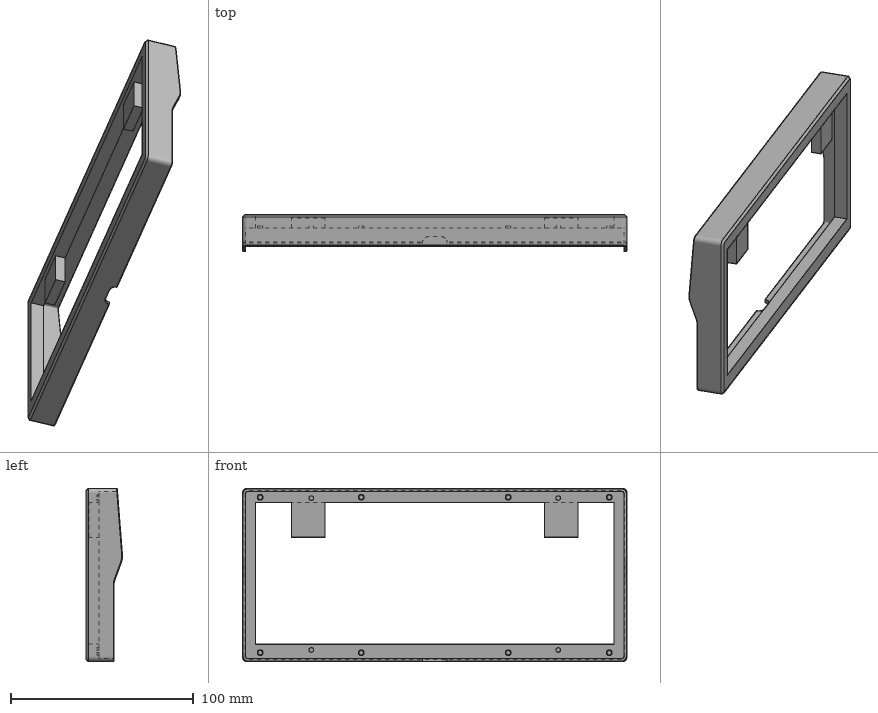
import cadquery as cq
import math

LENGTH = 210.3
HEIGHT = 94.8
DEPTH = 20.0
WALL = 1.79
CORNER_RADIUS = 2.7
BACK_CHAMFER = 1.3
RIM_CHAMFER = 0.5

BOTTOM_DEPTH = 15.3
CREST_HEIGHT = 10.5
CREST_RADIUS = 10.5
STEP_RADIUS = 8.5
UPPER_SLOPE = math.radians(4.5)
STEP_SLOPE = math.radians(20)

FLANGE_THICKNESS = 7.1
OPENING_LENGTH = 196.0
OPENING_TOP = 39.5
OPENING_BOTTOM = -37.8

TAB_WIDTH = 18.5
TAB_DROP = 19.0
TAB_OFFSET = 69.2
TAB_THICKNESS = 5.5

HOLE_DEPTH = 1.0
SCREW_DIAMETER = 3.2
SCREW_BOTTOM_DIAMETER = 2.5
SCREW_OFFSETS = (40.2, 95.5)
SCREW_HEIGHT = 42.5
PIN_DIAMETER = 2.5
PIN_OFFSET = 67.5
PIN_TOP = 42.0
PIN_BOTTOM = -41.0

NOTCH_WIDTH = 13.5
NOTCH_DEPTH = 3.4
NOTCH_RADIUS = 3.2

FLANGE_FRONT = DEPTH - FLANGE_THICKNESS
BOTTOM_FRONT = DEPTH - BOTTOM_DEPTH


def make_body():
    """Solid block with the side outline, rounded along its length edges and chamfered front and back."""
    upper_y = CREST_RADIUS * (1 - math.cos(UPPER_SLOPE))
    upper_z = CREST_HEIGHT + CREST_RADIUS * math.sin(UPPER_SLOPE)
    lower_y = CREST_RADIUS * (1 - math.cos(STEP_SLOPE))
    lower_z = CREST_HEIGHT - CREST_RADIUS * math.sin(STEP_SLOPE)
    step_y = BOTTOM_FRONT - STEP_RADIUS * (1 - math.cos(STEP_SLOPE))
    step_z = lower_z - (step_y - lower_y) / math.tan(STEP_SLOPE)
    step_end_z = step_z - STEP_RADIUS * math.sin(STEP_SLOPE)
    top_y = upper_y + (HEIGHT / 2 - upper_z) * math.tan(UPPER_SLOPE)
    body = (
        cq.Workplane("YZ")
        .moveTo(DEPTH, -HEIGHT / 2)
        .lineTo(DEPTH, HEIGHT / 2)
        .lineTo(top_y, HEIGHT / 2)
        .lineTo(upper_y, upper_z)
        .threePointArc((0, CREST_HEIGHT), (lower_y, lower_z))
        .lineTo(step_y, step_z)
        .tangentArcPoint((BOTTOM_FRONT, step_end_z), relative=False)
        .lineTo(BOTTOM_FRONT, -HEIGHT / 2)
        .close()
        .extrude(LENGTH / 2, both=True)
    )
    body = body.edges("|Y").fillet(CORNER_RADIUS)
    body = body.faces(">Y").edges().chamfer(BACK_CHAMFER)
    bottom_front_edge = cq.selectors.NearestToPointSelector((0, BOTTOM_FRONT, -HEIGHT / 2))
    return body.edges(bottom_front_edge).chamfer(RIM_CHAMFER)


def make_recess():
    """Pocket in front of the flange that leaves the surrounding wall."""
    recess = cq.Workplane("XY").box(LENGTH - 2 * WALL, FLANGE_FRONT, HEIGHT - 2 * WALL)
    recess = recess.edges("|Y").fillet(CORNER_RADIUS - WALL)
    return recess.translate((0, FLANGE_FRONT / 2, 0))


def make_opening():
    """Window through the flange."""
    opening = cq.Workplane("XY").box(OPENING_LENGTH, DEPTH, OPENING_TOP - OPENING_BOTTOM)
    return opening.translate((0, DEPTH / 2, (OPENING_TOP + OPENING_BOTTOM) / 2))


def make_tab(side):
    """Rectangular tab below the upper edge of the opening."""
    tab = cq.Workplane("XY").box(TAB_WIDTH, TAB_THICKNESS, TAB_DROP)
    return tab.translate((side * TAB_OFFSET, FLANGE_FRONT + TAB_THICKNESS / 2, OPENING_TOP - TAB_DROP / 2))


def make_holes(diameter, bottom_diameter, points):
    """Blind round holes along Y from the front of the flange."""
    plane = cq.Workplane("XZ", origin=(0, FLANGE_FRONT, 0))
    taper = math.degrees(math.atan((diameter - bottom_diameter) / 2 / HOLE_DEPTH))
    return plane.pushPoints(points).circle(diameter / 2).extrude(-HOLE_DEPTH, taper=taper)


def make_notch():
    """Cut across the bottom wall with rounded inner corners."""
    notch = cq.Workplane("XY").box(NOTCH_WIDTH, 2 * NOTCH_DEPTH, 2 * WALL)
    notch = notch.edges("|Z").fillet(NOTCH_RADIUS)
    return notch.translate((0, BOTTOM_FRONT, -HEIGHT / 2))


screw_points = [
    (side * offset, level * SCREW_HEIGHT)
    for side in (-1, 1)
    for offset in SCREW_OFFSETS
    for level in (-1, 1)
]
pin_points = [(side * PIN_OFFSET, height) for side in (-1, 1) for height in (PIN_TOP, PIN_BOTTOM)]

result = (
    make_body()
    .cut(make_recess())
    .cut(make_opening())
    .union(make_tab(-1))
    .union(make_tab(1))
    .cut(make_holes(SCREW_DIAMETER, SCREW_BOTTOM_DIAMETER, screw_points))
    .cut(make_holes(PIN_DIAMETER, PIN_DIAMETER, pin_points))
    .cut(make_notch())
)